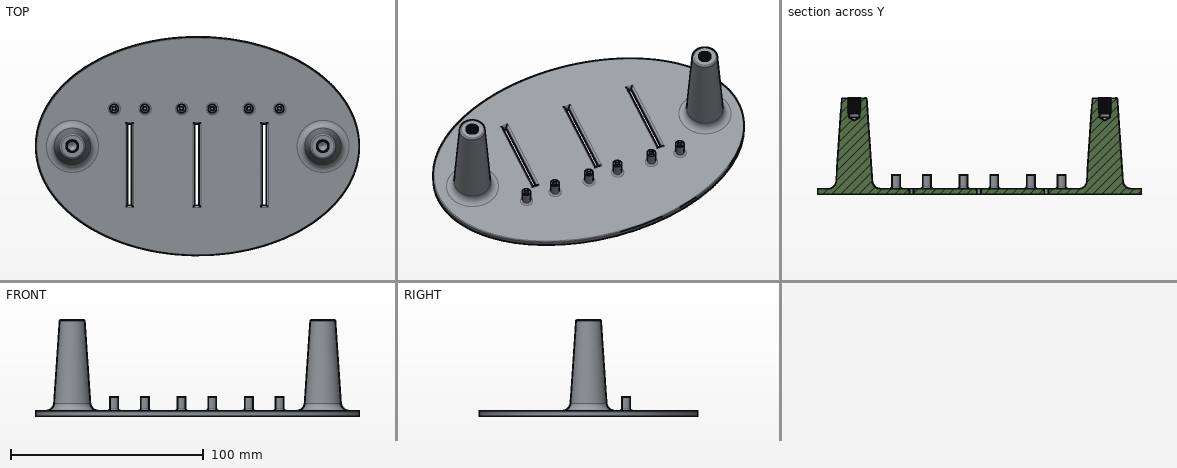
import cadquery as cq
import math

plate_length = 167.9
plate_width = 113.5
plate_thickness = 3.0
plate_edge_radius = 0.5

total_height = 50.0
post_spacing = 130.0
post_top_radius = 6.5
post_bottom_radius = 9.7
post_foot_fillet = 4.0
post_top_fillet = 0.8

thread_minor_radius = 2.7
thread_major_radius = 3.2
thread_pitch = 1.26
thread_turns = 7
thread_hole_depth = 10.0
drill_point_angle = 118.0

pin_diameter = 4.4
pin_hole_diameter = 2.0
pin_top = 10.0
pin_hole_depth = 5.0
pin_foot_fillet = 1.0
pin_pair_gap = 16.0
pin_row_y = 19.5

slot_width = 2.0
slot_length = 42.0
slot_centre_y = -9.5
slot_edge_radius = 1.0

pattern_x = -0.3
pattern_pitch = 35.0
pattern_centres = [pattern_x + i * pattern_pitch for i in (-1, 0, 1)]

slot_points = [(x, slot_centre_y) for x in pattern_centres]
pin_points = [(x + side * pin_pair_gap / 2, pin_row_y) for x in pattern_centres for side in (-1, 1)]
post_points = [(side * post_spacing / 2, 0) for side in (-1, 1)]


def make_plate():
    """Elliptical plate with a rounded top rim."""
    plate = cq.Workplane("XY").ellipse(plate_length / 2, plate_width / 2).extrude(plate_thickness)
    return plate.faces(">Z").edges().fillet(plate_edge_radius)


def add_slots(body):
    """Cut the through slots and round their straight top rims."""
    slots = cq.Workplane("XY").pushPoints(slot_points).rect(slot_width, slot_length)
    body = body.cut(slots.extrude(plate_thickness))
    rims = body.faces(">Z").edges("|X or |Y")
    return rims.fillet(slot_edge_radius)


def make_post():
    """Cone frustum standing on the plate, rounded at its top rim."""
    profile = (
        cq.Workplane("XZ")
        .moveTo(0, plate_thickness)
        .lineTo(post_bottom_radius, plate_thickness)
        .lineTo(post_top_radius, total_height)
        .lineTo(0, total_height)
        .close()
    )
    post = profile.revolve(360, (0, 0, 0), (0, 1, 0))
    return post.faces(">Z").edges().fillet(post_top_fillet)


def make_thread_hole():
    """Blind drilled hole with a conical bottom and a V groove for each thread turn."""
    floor_z = total_height - thread_hole_depth
    point_depth = thread_minor_radius / math.tan(math.radians(drill_point_angle / 2))
    profile = (
        cq.Workplane("XZ")
        .moveTo(0, floor_z - point_depth)
        .lineTo(thread_minor_radius, floor_z)
    )
    for turn in range(thread_turns, 0, -1):
        crest_z = total_height - (turn - 0.5) * thread_pitch
        profile = profile.lineTo(thread_minor_radius, crest_z)
        profile = profile.lineTo(thread_major_radius, crest_z + thread_pitch / 2)
    profile = profile.lineTo(0, total_height).close()
    return profile.revolve(360, (0, 0, 0), (0, 1, 0))


def fillet_feet(body, points, root_radius, fillet_radius):
    """Round the junction between the plate and each round part standing on it."""
    selection_margin = 0.2
    for x, y in points:
        foot = cq.selectors.BoxSelector(
            (x - root_radius, y - root_radius, plate_thickness - selection_margin),
            (x + root_radius, y + root_radius, plate_thickness + selection_margin),
        )
        body = body.edges("%CIRCLE").edges(foot).fillet(fillet_radius)
    return body


result = add_slots(make_plate())

post = make_post()
for x, y in post_points:
    result = result.union(post.translate((x, y, 0)))
result = fillet_feet(result, post_points, post_bottom_radius, post_foot_fillet)

pins = (
    cq.Workplane("XY", origin=(0, 0, plate_thickness))
    .pushPoints(pin_points)
    .circle(pin_diameter / 2)
    .extrude(pin_top - plate_thickness)
)
result = fillet_feet(result.union(pins), pin_points, pin_diameter / 2, pin_foot_fillet)

pin_holes = (
    cq.Workplane("XY", origin=(0, 0, pin_top))
    .pushPoints(pin_points)
    .circle(pin_hole_diameter / 2)
    .extrude(-pin_hole_depth)
)
result = result.cut(pin_holes)

thread_hole = make_thread_hole()
for x, y in post_points:
    result = result.cut(thread_hole.translate((x, y, 0)))